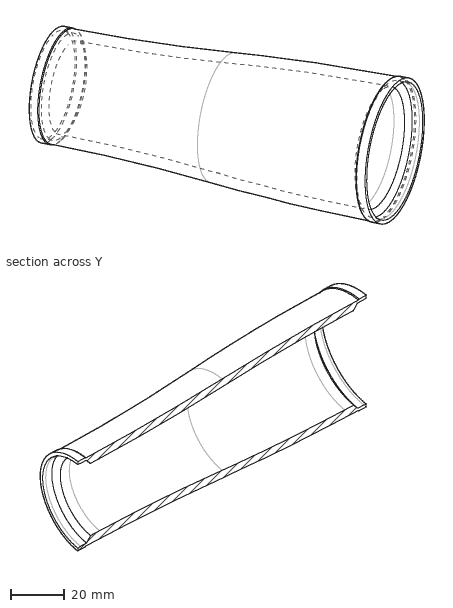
import cadquery as cq

length = 140.0
small_radius = 22.4
large_radius = 28.0

collar_length = 3.5
bevel_length = 0.4
body_step = 0.3

wall = 4.5
rim_width = 1.5
mouth_taper = 0.3
mouth_taper_depth = 1.3
socket_wall = rim_width + mouth_taper
socket_depth = 4.2
throat_start = 6.2
bore_curve_start = 10.5

half_length = length / 2
mean_radius = (small_radius + large_radius) / 2


def revolved(end_points):
    """Revolve a profile given by (distance from the end, drop below the end radius).

    The points describe both ends alike; an S-curve of two arcs joins them.
    """
    start_x, drop = end_points[-1]
    half_run = half_length - start_x
    half_rise = (large_radius - small_radius) / 2
    arc_radius = (half_run**2 + half_rise**2) / (2 * half_rise)
    quarter_run = half_run / 2
    sag = arc_radius - (arc_radius**2 - quarter_run**2) ** 0.5
    middle_radius = mean_radius - drop

    left = [(x - half_length, small_radius - d) for x, d in end_points]
    right = [(half_length - x, large_radius - d) for x, d in reversed(end_points)]
    profile = (
        cq.Workplane("XZ")
        .moveTo(-half_length, 0)
        .polyline(left, includeCurrent=True)
        .threePointArc((-quarter_run, left[-1][1] + sag), (0, middle_radius))
        .threePointArc((quarter_run, right[0][1] - sag), right[0])
        .polyline(right[1:], includeCurrent=True)
        .lineTo(half_length, 0)
        .close()
    )
    return profile.revolve(360, (0, 0, 0), (1, 0, 0))


outer_end = [
    (0, 0),
    (collar_length, 0),
    (collar_length + bevel_length, body_step),
]
bore_end = [
    (0, rim_width),
    (mouth_taper_depth, socket_wall),
    (socket_depth, socket_wall),
    (throat_start, wall),
    (bore_curve_start, wall),
]

result = revolved(outer_end).cut(revolved(bore_end))